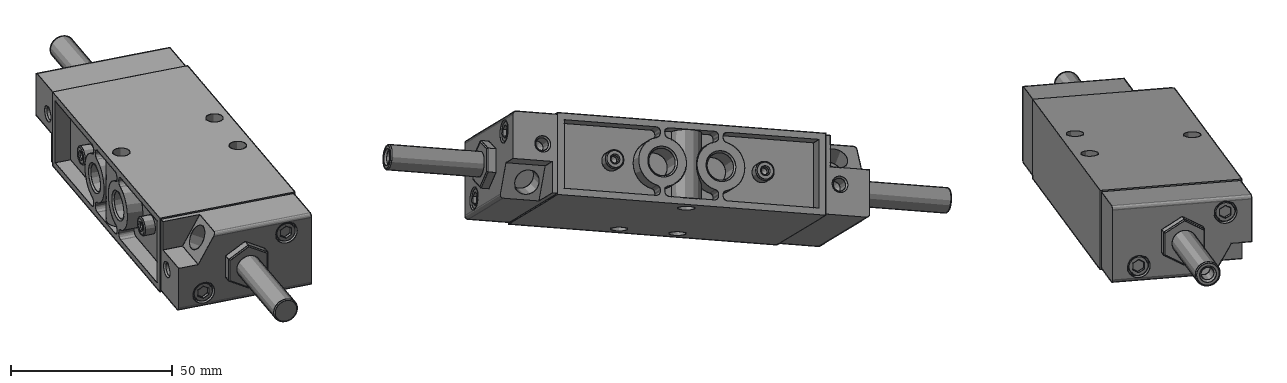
import cadquery as cq
import math

length = 184.0
depth = 45.0
height = 26.0

body_length = 88.0
body_front = -depth / 2
cap_end = 58.5
cap_height = 25.0
cap_setback = 0.4
cap_edge_fillet = 1.1

recess_length = 83.5
recess_height = 21.7
recess_depth = 5.2
recess_floor = body_front + recess_depth

port_offset = 9.5
port_diameter = 8.6
port_chamfer = 0.5
port_depth = 8.0
boss_diameter = 15.6
web_width = 1.5
web_fillet = 1.5

pin_offset = 24.7
pin_diameter = 6.0
pin_height = 3.7
pin_bore = 2.4
pin_bore_rim = 3.1
pin_bore_depth = 1.8
pin_chamfer = 0.4

mount_diameter = 5.3
mount_offset_y = 17.5
hub_diameter = 9.5

rod_diameter = 8.0
rod_tip_chamfer = 0.4
rod_bore = 4.0
rod_bore_rim = 5.3
rod_bore_depth = 5.5
nut_across_flats = 13.0
nut_thickness = 3.0
nut_chamfer = 0.4

relief_inner_x = 45.6
relief_ledge_z = 2.5
relief_start_y = -15.6
relief_angle = 30.0
relief_hole_x = 50.6
relief_hole_z = 7.5
relief_hole_diameter = 8.0
relief_hole_depth = 6.0

side_hole_x = 48.8
side_hole_z = 2.8
side_hole_diameter = 4.0
side_hole_rim = 5.2
side_hole_depth = 5.5

screw_y = 13.8
screw_z = 7.7
screw_seat_diameter = 7.2
screw_seat_depth = 1.8
screw_head_diameter = 6.0
screw_head_height = 1.5
screw_socket = 3.7
screw_socket_depth = 1.1

drill_point_angle = 118.0


def cylinder(diameter, span, start, direction):
    return cq.Workplane(cq.Solid.makeCylinder(diameter / 2, span, cq.Vector(*start), cq.Vector(*direction)))


def cone(start_diameter, end_diameter, span, start, direction):
    return cq.Workplane(
        cq.Solid.makeCone(start_diameter / 2, end_diameter / 2, span, cq.Vector(*start), cq.Vector(*direction))
    )


def drilled_hole(diameter, rim_diameter, span, start, direction):
    """Blind hole with a 45 degree countersunk rim and a conical drill point."""
    axis = cq.Vector(*direction).normalized()
    tip_start = (cq.Vector(*start) + axis * span).toTuple()
    tip_height = diameter / 2 / math.tan(math.radians(drill_point_angle / 2))
    rim_depth = (rim_diameter - diameter) / 2
    hole = cylinder(diameter, span, start, direction)
    hole = hole.union(cone(diameter, 0, tip_height, tip_start, direction))
    return hole.union(cone(rim_diameter, diameter, rim_depth, start, direction))


def bossed_frame():
    """Bosses and webs that are left standing inside the recess, flush with the body front."""
    bosses = cq.Workplane("XZ", origin=(0, recess_floor, 0))
    bosses = bosses.pushPoints([(-port_offset, 0), (port_offset, 0)]).circle(boss_diameter / 2)
    bosses = bosses.extrude(recess_depth)
    for x in (-port_offset, port_offset):
        web = cq.Workplane("XY").box(web_width, recess_depth, recess_height)
        bosses = bosses.union(web.translate((x, recess_floor - recess_depth / 2, 0)))
    return bosses


def recess():
    """Pocket in the front face, with rounded corners where the webs meet bosses and frame."""
    pocket = cq.Workplane("XY").box(recess_length, recess_depth, recess_height)
    pocket = pocket.translate((0, recess_floor - recess_depth / 2, 0)).cut(bossed_frame())
    web_corners = cq.selectors.BoxSelector(
        (-port_offset - web_width, body_front, -height / 2),
        (port_offset + web_width, recess_floor, height / 2),
    )
    return pocket.edges("|Y").edges(web_corners).fillet(web_fillet)


def port_cutter(x):
    bore = cylinder(port_diameter, port_depth, (x, body_front, 0), (0, 1, 0))
    rim = cone(port_diameter + 2 * port_chamfer, port_diameter, port_chamfer, (x, body_front, 0), (0, 1, 0))
    return bore.union(rim)


def pin(x):
    post = cq.Workplane("XZ", origin=(x, recess_floor, 0)).circle(pin_diameter / 2).extrude(pin_height)
    post = post.faces("<Y").chamfer(pin_chamfer)
    pin_front = (x, recess_floor - pin_height, 0)
    return post.cut(drilled_hole(pin_bore, pin_bore_rim, pin_bore_depth, pin_front, (0, 1, 0)))


def valve_body():
    body = cq.Workplane("XY").box(body_length, depth, height).cut(recess())
    hub = cq.Workplane("XY", origin=(0, recess_floor, -height / 2)).circle(hub_diameter / 2).extrude(height)
    body = body.union(hub)
    for x in (-port_offset, port_offset):
        body = body.cut(port_cutter(x))
    for x in (-pin_offset, pin_offset):
        body = body.union(pin(x))
    mounts = [(0, -mount_offset_y), (-port_offset, mount_offset_y), (port_offset, mount_offset_y)]
    drills = cq.Workplane("XY", origin=(0, 0, -height / 2)).pushPoints(mounts)
    return body.cut(drills.circle(mount_diameter / 2).extrude(height))


def relief():
    """Corner cut of the +X cap: level ledge, sloped back face and a hole square to the slope."""
    slope = math.tan(math.radians(relief_angle))
    top = height / 2
    top_y = relief_start_y + (top - relief_ledge_z) * slope
    profile = [(body_front, relief_ledge_z), (relief_start_y, relief_ledge_z), (top_y, top), (body_front, top)]
    cut = cq.Workplane("YZ", origin=(relief_inner_x, 0, 0)).polyline(profile).close()
    cut = cut.extrude(cap_end - relief_inner_x)
    hole_y = relief_start_y + (relief_hole_z - relief_ledge_z) * slope
    inward = (0, math.cos(math.radians(relief_angle)), -math.sin(math.radians(relief_angle)))
    hole = cylinder(relief_hole_diameter, relief_hole_depth, (relief_hole_x, hole_y, relief_hole_z), inward)
    return cut.union(hole)


def side_hole():
    start = (side_hole_x, body_front + cap_setback, -side_hole_z)
    return drilled_hole(side_hole_diameter, side_hole_rim, side_hole_depth, start, (0, 1, 0))


def screw_seat(y, z):
    """Counterbore with the socket screw head left standing inside it."""
    outline = cq.Workplane("YZ", origin=(cap_end - screw_seat_depth, y, z))
    seat = outline.circle(screw_seat_diameter / 2).extrude(screw_seat_depth)
    head = outline.circle(screw_head_diameter / 2).extrude(screw_head_height)
    head_top = cap_end - screw_seat_depth + screw_head_height
    socket = cq.Workplane("YZ", origin=(head_top - screw_socket_depth, y, z))
    socket = socket.polygon(6, screw_socket, circumscribed=True).extrude(screw_socket_depth)
    return seat.cut(head.cut(socket))


def end_cap():
    """Cap on the +X end with its lock nut."""
    cap_start = body_length / 2
    cap = cq.Workplane("XY").box(cap_end - cap_start, depth - 2 * cap_setback, cap_height)
    cap = cap.translate(((cap_start + cap_end) / 2, 0, 0))
    cap = cap.faces(">X").edges("|Y").fillet(cap_edge_fillet)
    cap = cap.cut(relief()).cut(side_hole())
    cap = cap.cut(screw_seat(screw_y, screw_z)).cut(screw_seat(-screw_y, -screw_z))
    nut = cq.Workplane("YZ", origin=(cap_end, 0, 0)).polygon(6, nut_across_flats, circumscribed=True)
    nut = nut.extrude(nut_thickness).faces(">X").chamfer(nut_chamfer)
    return cap.union(nut)


def rod():
    """Rod through both caps, chamfered at both tips and bored at the -X tip."""
    bar = cq.Workplane("YZ", origin=(-length / 2, 0, 0)).circle(rod_diameter / 2).extrude(length)
    bar = bar.faces("<X or >X").chamfer(rod_tip_chamfer)
    return bar.cut(drilled_hole(rod_bore, rod_bore_rim, rod_bore_depth, (-length / 2, 0, 0), (1, 0, 0)))


cap = end_cap()
result = valve_body().union(cap).union(cap.rotate((0, 0, 0), (0, 1, 0), 180))
result = result.union(rod())